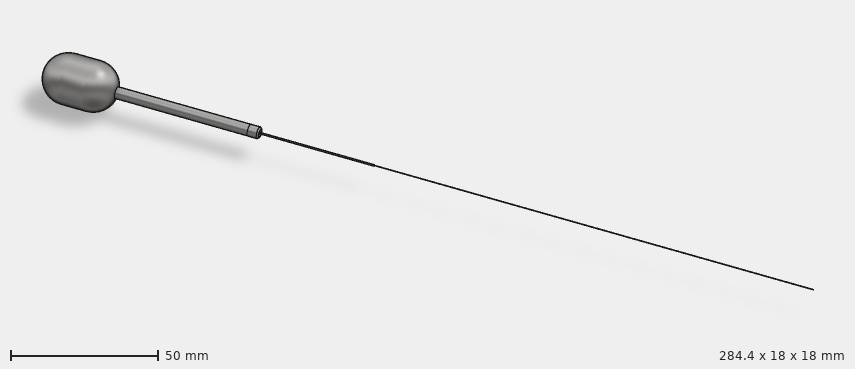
import cadquery as cq
import math

overall_length = 284.44
head_diameter = 18.03

head_radius = head_diameter / 2
barrel_length = 9.1
barrel_start = head_radius
barrel_end = barrel_start + barrel_length

stem_radius = 2.1
stem_end = 75.9
collar_radius = 2.12
collar_length = 4.0
collar_end = stem_end + collar_length
collar_chamfer = 0.6

thick_wire_radius = 0.3
thick_wire_end = 122.0
thin_wire_radius = 0.1
thin_wire_y = -0.15
thin_wire_z = 0.15


def dome_point(centre, angle):
    """Point on the head's dome; the angle is measured from +X about the dome's centre."""
    return centre + head_radius * math.cos(angle), head_radius * math.sin(angle)


def make_turned_body():
    """Head, stem, collar and thick wire, turned as one profile about the X axis."""
    stem_angle = math.asin(stem_radius / head_radius)
    back_middle_angle = (stem_angle + math.pi / 2) / 2
    profile = (
        cq.Workplane("XZ")
        .moveTo(0, 0)
        .threePointArc(dome_point(barrel_start, 3 * math.pi / 4), (barrel_start, head_radius))
        .lineTo(barrel_end, head_radius)
        .threePointArc(dome_point(barrel_end, back_middle_angle), dome_point(barrel_end, stem_angle))
        .lineTo(stem_end, stem_radius)
        .lineTo(stem_end, collar_radius)
        .lineTo(collar_end - collar_chamfer, collar_radius)
        .lineTo(collar_end, collar_radius - collar_chamfer)
        .lineTo(collar_end, thick_wire_radius)
        .lineTo(thick_wire_end, thick_wire_radius)
        .lineTo(thick_wire_end, 0)
        .close()
    )
    return profile.revolve(360, (0, 0, 0), (1, 0, 0))


def make_thin_wire():
    """Hair-thin end of the wire, set slightly off the axis of the thick length."""
    return (
        cq.Workplane("YZ")
        .workplane(offset=thick_wire_end)
        .center(thin_wire_y, thin_wire_z)
        .circle(thin_wire_radius)
        .extrude(overall_length - thick_wire_end)
    )


result = make_turned_body().union(make_thin_wire())